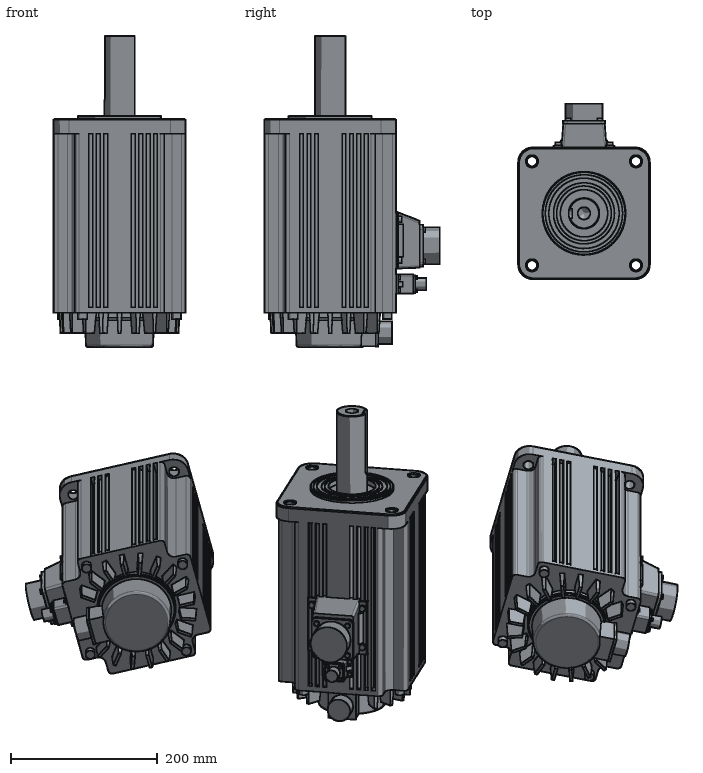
import cadquery as cq
import math


OVERLAP = 4.2

HALF = 90.0
FLANGE_T = 21.0
FLANGE_R = 21.0
FLANGE_CHAMFER = 1.5
BOLT_OFFSET = 71.0
BOLT_HOLE_D = 13.5
BOLT_HOLE_CHAMFER = 1.5
BODY_BOTTOM = -257.0
CAP_BOTTOM = -265.0
NOTCH = 61.0
NOTCH_EDGE_R = 5.5
NOTCH_ROOT_R = 9.8
GROOVE_FIRST = 18.5
GROOVE_PITCH = 10.0
GROOVES_BEFORE = 3
GROOVES_AFTER = 4
GROOVE_W = 5.0
GROOVE_FLOOR_R = 89.0

PILOT_R = 57.0
PILOT_H = 4.0
PILOT_CHAMFER = 1.0
RING_GROOVES = [(48.0, 52.5), (37.5, 41.5)]
RING_DEPTH = 1.3
RECESS_R = 32.3
RECESS_FLOOR = -3.5
SHAFT_D = 42.0
SHAFT_R = SHAFT_D / 2
SHAFT_TOP = 113.0
SHAFT_CHAMFER = 1.0
KEY_W = 12.7
KEY_BOTTOM = 23.5
KEY_DEPTH = 5.0
BORE_R = 8.5
BORE_DEPTH = 25.5
BORE_POINT_ANGLE = 118

FIN_COUNT = 20
FIN_TOP_SPAN = (58.0, 82.0)
FIN_TIP_SPAN = (61.0, 80.5)
FIN_BOTTOM = -292.5
FIN_TOP_W = 6.5
FIN_TIP_W = 4.0
COVER_BOTTOM = -311.5
COVER_TOP_R = 47.5
COVER_BOTTOM_R = 46.0
COVER_EDGE_R = 3.5
BOSS_R = 53.5
BOSS_BOTTOM = -271.0
RIM_R = 51.8
RIM_BOTTOM = -275.0
CAP_SCREW_R = 6.5
CAP_SCREW_H = 8.5
CAP_SCREW_NEAR = 50.5
CAP_SCREW_FAR = 77.5

SOCKET_Z = -291.5
SOCKET_R = 15.5
SOCKET_END = 84.5
SOCKET_PLATE = (62.0, 65.5)
SOCKET_HALF = 19.0
SOCKET_BOX_INSET = 0.5

FOOT_TOP = 93.0
SINK = 2.0

POWER_Z = -173.0
POWER_R = 25.5
POWER_END = 149.5
POWER_PLATE = (122.0, 126.5)
POWER_PLATE_HALF = 29.0
POWER_PLATE_R = 6.5
POWER_HOOD_FOOT_Z = (-204.5, -125.5)
POWER_HOOD_TOP_Z = (-203.3, -139.0)
POWER_HOOD_FOOT_HALF = 31.0
POWER_HOOD_TOP_HALF = 28.5
POWER_HOOD_EDGE_R = 3.0
POWER_FOOT_HALF = 41.5
POWER_FOOT_BEVEL = 1.5
POWER_FOOT_Z = (-204.5, -128.0)
POWER_SCREW = 21.5
POWER_SCREW_R = 3.5
POWER_SCREW_H = 3.0
POWER_FOOT_SCREW_X = 35.2
POWER_FOOT_SCREW_Z = (-193.0, -137.0)
POWER_FOOT_SCREW_R = 4.2
POWER_FOOT_SCREW_H = 4.2
POWER_RIB_Z = (-188.0, -144.0)
POWER_RIB_TOP = 99.5
POWER_RIB_W = 5.0

BRAKE_Z = -225.5
BRAKE_R = 8.5
BRAKE_END = 131.0
BRAKE_PLATE = (113.5, 116.0)
BRAKE_PLATE_HALF = 12.5
BRAKE_PLATE_R = 3.5
BRAKE_HOOD_HALF = 13.5
BRAKE_HOOD_EDGE_R = 2.5
BRAKE_FOOT_HALF = 21.2
BRAKE_SCREW = 9.0
BRAKE_SCREW_R = 2.0
BRAKE_SCREW_H = 2.5
BRAKE_FOOT_SCREW_X = 17.5
BRAKE_FOOT_SCREW_Z = 9.0
BRAKE_FOOT_SCREW_R = 3.0
BRAKE_FOOT_SCREW_H = 2.5
BRAKE_RIB_HALF = 3.5
BRAKE_RIB_TOP = 99.0
BRAKE_RIB_W = 7.0


def block(x, y, z):
    """Box given by its (low, high) range along each axis."""
    size = (x[1] - x[0], y[1] - y[0], z[1] - z[0])
    return cq.Workplane("XY").box(*size, centered=False).translate((x[0], y[0], z[0]))


def post(radius, bottom, top, x=0, y=0):
    """Upright cylinder between two heights."""
    return cq.Workplane("XY").workplane(offset=bottom).center(x, y).circle(radius).extrude(top - bottom)


def rod(radius, y_start, y_end, z, x=0):
    """Cylinder along Y."""
    return cq.Workplane("XZ", origin=(x, y_start, z)).circle(radius).extrude(y_start - y_end)


def make_flange():
    flange = block((-HALF, HALF), (-HALF, HALF), (-FLANGE_T, 0))
    flange = flange.edges("|Z").fillet(FLANGE_R).faces(">Z").edges().chamfer(FLANGE_CHAMFER)
    corners = [(sx * BOLT_OFFSET, sy * BOLT_OFFSET) for sx in (-1, 1) for sy in (-1, 1)]
    mouth_d = BOLT_HOLE_D + 2 * BOLT_HOLE_CHAMFER
    return flange.faces(">Z").workplane(origin=(0, 0, 0)).pushPoints(corners).cskHole(BOLT_HOLE_D, mouth_d, 90)


def make_grooves():
    """Grooves of the -Y side repeated on all four sides; one end of each side has one more."""
    lefts = [-GROOVE_FIRST - i * GROOVE_PITCH for i in range(GROOVES_BEFORE)]
    rights = [GROOVE_FIRST + i * GROOVE_PITCH for i in range(GROOVES_AFTER)]
    cutters = cq.Workplane("XY")
    for x in lefts + rights:
        bar = block((x - GROOVE_W / 2, x + GROOVE_W / 2), (-HALF - OVERLAP, -NOTCH), (BODY_BOTTOM, -FLANGE_T))
        for side in range(4):
            cutters = cutters.add(bar.rotate((0, 0, 0), (0, 0, 1), 90 * side))
    return cutters.combine().cut(post(GROOVE_FLOOR_R, BODY_BOTTOM, -FLANGE_T))


def make_body():
    height = (CAP_BOTTOM, -FLANGE_T)
    body = block((-HALF, HALF), (-NOTCH, NOTCH), height).union(block((-NOTCH, NOTCH), (-HALF, HALF), height))
    body = body.edges("|Z except (<X or >X or <Y or >Y)").fillet(NOTCH_ROOT_R)
    body = body.edges("|Z and (<X or >X or <Y or >Y)").fillet(NOTCH_EDGE_R)
    return body.cut(make_grooves())


def add_pilot_and_shaft(motor):
    motor = motor.union(post(PILOT_R, -OVERLAP, PILOT_H).faces(">Z").chamfer(PILOT_CHAMFER))
    ring_floor = PILOT_H - RING_DEPTH
    for inner, outer in RING_GROOVES:
        core = post(inner, ring_floor, PILOT_H + OVERLAP)
        motor = motor.cut(post(outer, ring_floor, PILOT_H + OVERLAP).cut(core))
    motor = motor.cut(post(RECESS_R, RECESS_FLOOR, PILOT_H + OVERLAP))

    shaft = post(SHAFT_R, RECESS_FLOOR - OVERLAP, SHAFT_TOP).faces(">Z").chamfer(SHAFT_CHAMFER)
    key_x = (-SHAFT_R - OVERLAP, -SHAFT_R + KEY_DEPTH)
    key_end = KEY_BOTTOM + KEY_W / 2
    key = block(key_x, (-KEY_W / 2, KEY_W / 2), (key_end, SHAFT_TOP + OVERLAP))
    rounded = cq.Workplane("YZ", origin=(key_x[0], 0, key_end)).circle(KEY_W / 2).extrude(key_x[1] - key_x[0])
    shaft = shaft.cut(key).cut(rounded)

    point_h = BORE_R / math.tan(math.radians(BORE_POINT_ANGLE / 2))
    bore = (
        cq.Workplane("XZ", origin=(0, 0, SHAFT_TOP))
        .polyline([(0, 0), (BORE_R, 0), (BORE_R, -BORE_DEPTH), (0, -BORE_DEPTH - point_h)])
        .close()
        .revolve(360, (0, 0), (0, 1))
    )
    return motor.union(shaft.cut(bore))


def add_encoder_end(motor):
    motor = motor.union(post(BOSS_R, BOSS_BOTTOM, CAP_BOTTOM)).union(post(RIM_R, RIM_BOTTOM, BOSS_BOTTOM))
    profile = [
        (0, RIM_BOTTOM),
        (COVER_TOP_R, RIM_BOTTOM),
        (COVER_BOTTOM_R, COVER_BOTTOM),
        (0, COVER_BOTTOM),
    ]
    cover = cq.Workplane("XZ").polyline(profile).close().revolve(360, (0, 0), (0, 1))
    motor = motor.union(cover.faces("<Z").edges().fillet(COVER_EDGE_R))

    thickness = [
        (-FIN_TOP_W / 2, CAP_BOTTOM),
        (FIN_TOP_W / 2, CAP_BOTTOM),
        (FIN_TIP_W / 2, FIN_BOTTOM),
        (-FIN_TIP_W / 2, FIN_BOTTOM),
    ]
    span = [
        (-FIN_TOP_SPAN[0], CAP_BOTTOM),
        (-FIN_TOP_SPAN[1], CAP_BOTTOM),
        (-FIN_TIP_SPAN[1], FIN_BOTTOM),
        (-FIN_TIP_SPAN[0], FIN_BOTTOM),
    ]
    fin = cq.Workplane("XZ").polyline(thickness).close().extrude(HALF)
    fin = fin.intersect(cq.Workplane("YZ").polyline(span).close().extrude(FIN_TOP_W, both=True))
    half_count = FIN_COUNT // 2
    for i in range(2 - half_count, half_count - 1):
        motor = motor.union(fin.rotate((0, 0, 0), (0, 0, 1), i * 360 / FIN_COUNT))

    screw = post(CAP_SCREW_R, CAP_BOTTOM - CAP_SCREW_H, CAP_BOTTOM, -CAP_SCREW_NEAR, -CAP_SCREW_FAR)
    for side in range(4):
        motor = motor.union(screw.rotate((0, 0, 0), (0, 0, 1), 90 * side))
    return motor


def make_encoder_socket():
    width = (-SOCKET_HALF, SOCKET_HALF)
    height = (SOCKET_Z - SOCKET_HALF, SOCKET_Z + SOCKET_HALF)
    plate = block(width, SOCKET_PLATE, height)
    inner = SOCKET_HALF - SOCKET_BOX_INSET
    box = block((-inner, inner), (0, SOCKET_PLATE[0]), (SOCKET_Z - inner, SOCKET_Z + inner))
    return plate.union(box).union(rod(SOCKET_R, SOCKET_PLATE[0], SOCKET_END, SOCKET_Z))


def make_hood(foot_half, foot_z, top_half, top_z, top_y, edge_r):
    """Tapered box from the body side out to top_y, with its long edges rounded."""
    foot_y = HALF - SINK
    side = [(foot_y, foot_z[0]), (top_y, top_z[0]), (top_y, top_z[1]), (foot_y, foot_z[1])]
    plan = [(-foot_half, foot_y), (foot_half, foot_y), (top_half, top_y), (-top_half, top_y)]
    tall = cq.Workplane("YZ").polyline(side).close().extrude(foot_half, both=True)
    wide = cq.Workplane("XY", origin=(0, 0, foot_z[0])).polyline(plan).close().extrude(foot_z[1] - foot_z[0])
    return tall.intersect(wide).edges("not (<Y or >Y)").fillet(edge_r)


def make_ribs(wall_x, top_y, width, z):
    """Pair of triangular ribs leaning on the two side walls of a hood."""
    outline = [(0, FOOT_TOP), (0, top_y), (wall_x, top_y), (wall_x + width, FOOT_TOP)]
    rib = cq.Workplane("XY", origin=(0, 0, z[0])).polyline(outline).close().extrude(z[1] - z[0])
    return rib.union(rib.mirror("YZ"))


def make_screws(xs, zs, radius, foot_y, head):
    """Screw heads standing on a face that looks toward +Y."""
    screws = cq.Workplane("XY")
    for x in xs:
        for z in zs:
            screws = screws.add(rod(radius, foot_y - SINK, foot_y + head, z, x))
    return screws.combine()


def make_plate(half, z, y_range, corner_r):
    return block((-half, half), y_range, (z - half, z + half)).edges("|Y").fillet(corner_r)


def make_power_connector():
    foot = block((-POWER_FOOT_HALF, POWER_FOOT_HALF), (HALF - SINK, FOOT_TOP), POWER_FOOT_Z)
    foot = foot.faces(">Y").edges("|Z").chamfer(POWER_FOOT_BEVEL)
    hood = make_hood(
        POWER_HOOD_FOOT_HALF,
        POWER_HOOD_FOOT_Z,
        POWER_HOOD_TOP_HALF,
        POWER_HOOD_TOP_Z,
        POWER_PLATE[0],
        POWER_HOOD_EDGE_R,
    )
    ribs = make_ribs(POWER_HOOD_FOOT_HALF, POWER_RIB_TOP, POWER_RIB_W, POWER_RIB_Z)
    foot_xs = (-POWER_FOOT_SCREW_X, POWER_FOOT_SCREW_X)
    foot_screws = make_screws(foot_xs, POWER_FOOT_SCREW_Z, POWER_FOOT_SCREW_R, FOOT_TOP, POWER_FOOT_SCREW_H)
    plate = make_plate(POWER_PLATE_HALF, POWER_Z, POWER_PLATE, POWER_PLATE_R)
    plate_xs = (-POWER_SCREW, POWER_SCREW)
    plate_zs = (POWER_Z - POWER_SCREW, POWER_Z + POWER_SCREW)
    plate_screws = make_screws(plate_xs, plate_zs, POWER_SCREW_R, POWER_PLATE[1], POWER_SCREW_H)
    barrel = rod(POWER_R, POWER_PLATE[0], POWER_END, POWER_Z)
    return foot.union(hood).union(ribs).union(foot_screws).union(plate).union(plate_screws).union(barrel)


def make_brake_connector():
    hood_z = (BRAKE_Z - BRAKE_HOOD_HALF, BRAKE_Z + BRAKE_HOOD_HALF)
    foot = block((-BRAKE_FOOT_HALF, BRAKE_FOOT_HALF), (HALF - SINK, FOOT_TOP), hood_z)
    hood = make_hood(BRAKE_HOOD_HALF, hood_z, BRAKE_HOOD_HALF, hood_z, BRAKE_PLATE[0], BRAKE_HOOD_EDGE_R)
    ribs = make_ribs(
        BRAKE_HOOD_HALF,
        BRAKE_RIB_TOP,
        BRAKE_RIB_W,
        (BRAKE_Z - BRAKE_RIB_HALF, BRAKE_Z + BRAKE_RIB_HALF),
    )
    foot_xs = (-BRAKE_FOOT_SCREW_X, BRAKE_FOOT_SCREW_X)
    foot_zs = (BRAKE_Z - BRAKE_FOOT_SCREW_Z, BRAKE_Z + BRAKE_FOOT_SCREW_Z)
    foot_screws = make_screws(foot_xs, foot_zs, BRAKE_FOOT_SCREW_R, FOOT_TOP, BRAKE_FOOT_SCREW_H)
    plate = make_plate(BRAKE_PLATE_HALF, BRAKE_Z, BRAKE_PLATE, BRAKE_PLATE_R)
    plate_xs = (-BRAKE_SCREW, BRAKE_SCREW)
    plate_zs = (BRAKE_Z - BRAKE_SCREW, BRAKE_Z + BRAKE_SCREW)
    plate_screws = make_screws(plate_xs, plate_zs, BRAKE_SCREW_R, BRAKE_PLATE[1], BRAKE_SCREW_H)
    barrel = rod(BRAKE_R, BRAKE_PLATE[0], BRAKE_END, BRAKE_Z)
    return foot.union(hood).union(ribs).union(foot_screws).union(plate).union(plate_screws).union(barrel)


result = make_body().union(make_flange())
result = add_pilot_and_shaft(result)
result = add_encoder_end(result)
result = result.union(make_encoder_socket())
result = result.union(make_power_connector())
result = result.union(make_brake_connector())